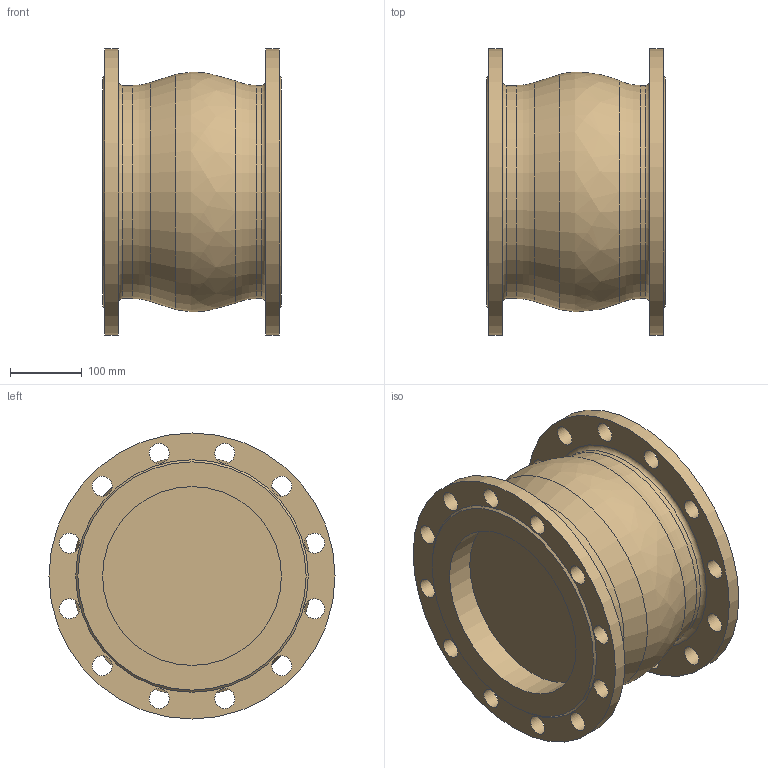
import cadquery as cq
import math

length = 250.0
flange_diameter = 400.0

flange_thickness = 19.0
raised_face_height = 3.0
raised_face_outer_radius = 159.5
raised_face_base_radius = raised_face_outer_radius + raised_face_height

bolt_count = 12
bolt_circle_diameter = 355.0
bolt_hole_diameter = 28.0

recess_diameter = 250.0
recess_depth = 40.0

neck_radius = 149.0
root_fillet = 6.0
left_neck_end_x = -83.0
cone_start_x = -58.0
cone_end_x = -23.0
cone_slope_angle = math.radians(18)
bulge_end_x = 61.0
bulge_end_radius = 155.4
right_neck_start_x = 90.0

end_x = length / 2
flange_outer_x = end_x - raised_face_height
flange_inner_x = flange_outer_x - flange_thickness
neck_x = flange_inner_x - root_fillet
flange_radius = flange_diameter / 2


def body_of_revolution():
    """Revolve the outer profile, drawn as (x, radius), about the X axis."""
    fillet_radius_at_flange = neck_radius + root_fillet
    fillet_mid_offset = root_fillet * (1 - math.sqrt(0.5))

    cone_start_radius = neck_radius + (cone_start_x - left_neck_end_x) * math.tan(cone_slope_angle / 2)
    cone_end_radius = cone_start_radius + (cone_end_x - cone_start_x) * math.tan(cone_slope_angle)
    bulge_end_angle = 2 * math.atan2(bulge_end_radius - neck_radius, right_neck_start_x - bulge_end_x)

    cone_direction = (math.cos(cone_slope_angle), math.sin(cone_slope_angle))
    bulge_end_direction = (math.cos(bulge_end_angle), -math.sin(bulge_end_angle))

    profile = (
        cq.Workplane("XY")
        .moveTo(-end_x, 0)
        .lineTo(-end_x, raised_face_outer_radius)
        .lineTo(-flange_outer_x, raised_face_base_radius)
        .lineTo(-flange_outer_x, flange_radius)
        .lineTo(-flange_inner_x, flange_radius)
        .lineTo(-flange_inner_x, fillet_radius_at_flange)
        .threePointArc(
            (-flange_inner_x + fillet_mid_offset, neck_radius + fillet_mid_offset),
            (-neck_x, neck_radius),
        )
        .lineTo(left_neck_end_x, neck_radius)
        .tangentArcPoint((cone_start_x, cone_start_radius), relative=False)
        .lineTo(cone_end_x, cone_end_radius)
        .spline(
            [(bulge_end_x, bulge_end_radius)],
            tangents=[cone_direction, bulge_end_direction],
            includeCurrent=True,
        )
        .tangentArcPoint((right_neck_start_x, neck_radius), relative=False)
        .lineTo(neck_x, neck_radius)
        .threePointArc(
            (flange_inner_x - fillet_mid_offset, neck_radius + fillet_mid_offset),
            (flange_inner_x, fillet_radius_at_flange),
        )
        .lineTo(flange_inner_x, flange_radius)
        .lineTo(flange_outer_x, flange_radius)
        .lineTo(flange_outer_x, raised_face_base_radius)
        .lineTo(end_x, raised_face_outer_radius)
        .lineTo(end_x, 0)
        .close()
    )
    return profile.revolve(360, (0, 0, 0), (1, 0, 0))


def bolt_holes(flange_start_x):
    """Cutters for the ring of bolt holes in the flange starting at flange_start_x."""
    half_pitch = 360 / bolt_count / 2
    return (
        cq.Workplane("YZ", origin=(flange_start_x, 0, 0))
        .polarArray(bolt_circle_diameter / 2, half_pitch, 360, bolt_count)
        .circle(bolt_hole_diameter / 2)
        .extrude(flange_thickness)
    )


def end_recess(start_x):
    """Cutter for a flat-bottomed recess starting at start_x."""
    return (
        cq.Workplane("YZ", origin=(start_x, 0, 0))
        .circle(recess_diameter / 2)
        .extrude(recess_depth)
    )


result = body_of_revolution()
for flange_start_x in (-flange_outer_x, flange_inner_x):
    result = result.cut(bolt_holes(flange_start_x))
for recess_start_x in (-end_x, end_x - recess_depth):
    result = result.cut(end_recess(recess_start_x))